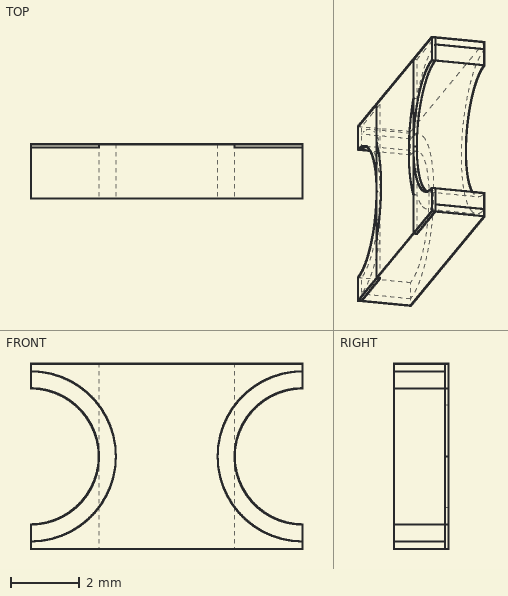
import cadquery as cq


length = 7.98
thickness = 1.6
height = 5.44
bore_radius = 1.995
plating_wall = 0.5
pad_thickness = 0.1

plating_radius = bore_radius + plating_wall
half_length = length / 2
half_height = height / 2
front_y = -thickness / 2
back_y = thickness / 2
pad_edge_x = half_length - bore_radius
arc_offset = bore_radius * 0.5 ** 0.5

SIDES = (-1, 1)


def outline_plane(y):
    """Sketch plane at depth y with axes X and Z; positive extrusion runs towards -Y."""
    return cq.Workplane("XZ", origin=(0, y, 0))


def end_cylinder(side, radius):
    """Full-depth cylinder centred on one end edge."""
    return (
        outline_plane(front_y)
        .center(side * half_length, 0)
        .circle(radius)
        .extrude(-thickness)
    )


def block():
    """Rectangular envelope of the whole part."""
    return cq.Workplane("XY").box(length, thickness, height)


def make_pad(side, level):
    """Back-face pad in one corner, narrowing to a point at mid height beside the bore."""
    end_x = side * half_length
    inner_x = side * pad_edge_x
    return (
        outline_plane(back_y)
        .moveTo(end_x, level * bore_radius)
        .lineTo(end_x, level * half_height)
        .lineTo(inner_x, level * half_height)
        .lineTo(inner_x, 0)
        .threePointArc(
            (side * (half_length - arc_offset), level * arc_offset),
            (end_x, level * bore_radius),
        )
        .close()
        .extrude(pad_thickness)
    )


def make_plating(side, pads):
    """Half-ring lining one end bore, recessed where the pads cover it."""
    plating = block().intersect(end_cylinder(side, plating_radius))
    plating = plating.cut(end_cylinder(side, bore_radius))
    for pad in pads:
        plating = plating.cut(pad)
    return plating


def make_board(pads):
    """Board with a half-round opening in each end and recesses for the pads."""
    board = block()
    for side in SIDES:
        board = board.cut(end_cylinder(side, plating_radius))
    for pad in pads:
        board = board.cut(pad)
    return board


pads = [make_pad(side, level) for side in SIDES for level in (-1, 1)]
platings = [make_plating(side, pads) for side in SIDES]
board = make_board(pads)

result = cq.Compound.makeCompound(
    [
        board.solids().val(),
        *[plating.solids().val() for plating in platings],
        *[pad.solids().val() for pad in pads],
    ]
)